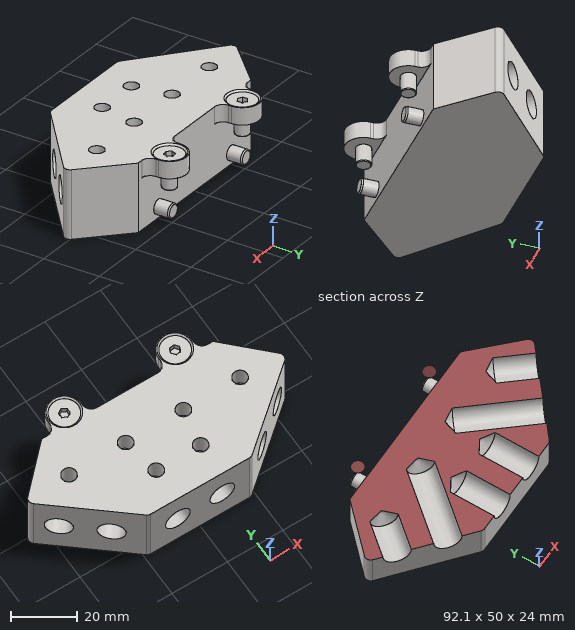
import cadquery as cq
import math


block_width = 92.1
total_depth = 50.0
block_depth = 40.0
block_height = 24.0
rear_corner_x = 30.9
rear_side_angle = 45.0
front_side_angle = 40.0
corner_radius = 2.0
front_y = -block_depth / 2
rear_y = block_depth / 2

lug_radius = 6.0
lug_thickness = 6.0
lug_root_radius = 3.0
lug_x = 20.0
lug_y = front_y + total_depth - lug_radius

countersink_diameter = 11.05
screw_head_diameter = 9.85
screw_diameter = 5.0
screw_tip_z = 12.0
screw_tip_chamfer = 0.3
socket_across_flats = 3.0
socket_depth = 2.0
left_socket_turn = 30.0
right_socket_turn = 8.0
screw_head_z = block_height - (countersink_diameter - screw_head_diameter) / 2

pin_diameter = 5.0
pin_x = lug_x
pin_z = 4.05
pin_protrusion = 5.5
pin_insertion = 6.4
pin_tip_length = 0.55
pin_tip_diameter = 4.4

port_diameter = 8.8
port_tip_angle = 118.0
port_z = block_height / 2
port_spacing = 16.0
front_port_depth = 15.65
outer_port_depth = 13.2
inner_port_depth = 27.6
inner_port_distance = 11.2

drop_diameter = 5.0
front_drop_y = -8.1
rear_drop_y = 5.0
outer_drop_x = 30.85
inner_drop_x = 10.4



def block_outline():
    """Sharp-cornered outline whose side corners reach the block width once they are rounded."""
    rear_slope = math.tan(math.radians(rear_side_angle))
    front_slope = math.tan(math.radians(front_side_angle))
    half_corner = math.radians(rear_side_angle + front_side_angle) / 2
    bisector_tilt = math.radians(rear_side_angle - front_side_angle) / 2
    centre_to_corner = corner_radius / math.sin(half_corner)
    side_x = block_width / 2 - corner_radius + centre_to_corner * math.cos(bisector_tilt)
    side_y = rear_y - (side_x - rear_corner_x) * rear_slope
    front_corner_x = side_x - (side_y - front_y) / front_slope
    return [
        (-front_corner_x, front_y),
        (front_corner_x, front_y),
        (side_x, side_y),
        (rear_corner_x, rear_y),
        (-rear_corner_x, rear_y),
        (-side_x, side_y),
    ]


def block_body():
    """Prism with rounded front and side corners; the rear corners stay sharp."""
    body = cq.Workplane().polyline(block_outline()).close().extrude(block_height)
    return body.edges("|Z").edges("<Y or <X or >X").fillet(corner_radius)


def lug(x):
    """Round-ended lug level with the top face, flared into the rear face by a root arc on each side."""
    root_half_width = lug_radius + lug_root_radius
    root_top_y = rear_y + lug_root_radius
    root_middle_x = root_half_width - lug_root_radius * math.sqrt(0.5)
    root_middle_y = root_top_y - lug_root_radius * math.sqrt(0.5)
    outline = (
        cq.Workplane()
        .moveTo(-root_half_width, rear_y)
        .threePointArc((-root_middle_x, root_middle_y), (-lug_radius, root_top_y))
        .lineTo(-lug_radius, lug_y)
        .threePointArc((0, lug_y + lug_radius), (lug_radius, lug_y))
        .lineTo(lug_radius, root_top_y)
        .threePointArc((root_middle_x, root_middle_y), (root_half_width, rear_y))
        .close()
    )
    return outline.extrude(lug_thickness).translate((x, 0, block_height - lug_thickness))


def port(x, y, turn, depth):
    """Cone-tipped cylinder to cut, drilled from (x, y) toward +Y turned anticlockwise by `turn`."""
    radius = port_diameter / 2
    tip_length = radius / math.tan(math.radians(port_tip_angle / 2))
    tool = (
        cq.Workplane()
        .polyline([(0, 0), (radius, 0), (radius, depth), (0, depth + tip_length)])
        .close()
        .revolve(360, (0, 0), (0, 1))
    )
    return tool.rotate((0, 0, 0), (0, 0, 1), turn).translate((x, y, port_z))


def ports():
    """All six ports: two in the front face and two in each front side face."""
    front_corner_x, _ = block_outline()[1]
    depths = [inner_port_depth, outer_port_depth]
    tools = []
    for side in (-1, 1):
        tools.append(port(side * port_spacing / 2, front_y, 0, front_port_depth))
        for index, depth in enumerate(depths):
            distance = inner_port_distance + index * port_spacing
            x = front_corner_x + distance * math.cos(math.radians(front_side_angle))
            y = front_y + distance * math.sin(math.radians(front_side_angle))
            tools.append(port(side * x, y, side * front_side_angle, depth))
    return tools


def drops():
    """Vertical holes from the top face to the mid height of the ports."""
    points = []
    for side in (-1, 1):
        points.append((side * port_spacing / 2, front_drop_y))
        points.append((side * inner_drop_x, rear_drop_y))
        points.append((side * outer_drop_x, rear_drop_y))
    plane = cq.Workplane().workplane(offset=port_z)
    return plane.pushPoints(points).circle(drop_diameter / 2).extrude(block_height - port_z)


def countersunk_profile(top_z, top_diameter, bottom_z):
    """Half section of a 90 degree cone running down into a cylinder of the screw diameter."""
    shank_radius = screw_diameter / 2
    cone_depth = (top_diameter - screw_diameter) / 2
    return cq.Workplane("XZ").polyline([
        (0, bottom_z),
        (shank_radius, bottom_z),
        (shank_radius, top_z - cone_depth),
        (top_diameter / 2, top_z),
        (0, top_z),
    ]).close()


def screw_hole(x):
    """Countersunk hole to cut through one lug."""
    profile = countersunk_profile(block_height, countersink_diameter, block_height - lug_thickness)
    return profile.revolve(360, (0, 0), (0, 1)).translate((x, lug_y, 0))


def pin_hole(x):
    """Blind hole to cut for one pin in the rear face."""
    hole = cq.Workplane("XZ").circle(pin_diameter / 2).extrude(pin_insertion)
    return hole.translate((x, rear_y, pin_z))


def make_block():
    """Block with its lugs and every hole."""
    body = block_body()
    for side in (-1, 1):
        body = body.union(lug(side * lug_x))
        body = body.cut(screw_hole(side * lug_x))
        body = body.cut(pin_hole(side * pin_x))
    for tool in ports():
        body = body.cut(tool)
    return body.cut(drops())


def make_screw(x, socket_turn):
    """Countersunk screw with a hexagon socket, its head just below the lug's top face."""
    profile = countersunk_profile(screw_head_z, screw_head_diameter, screw_tip_z)
    screw = profile.revolve(360, (0, 0), (0, 1)).faces("<Z").chamfer(screw_tip_chamfer)
    socket_diameter = socket_across_flats / math.cos(math.radians(30))
    socket = (
        cq.Workplane()
        .polygon(6, socket_diameter)
        .extrude(-socket_depth)
        .rotate((0, 0, 0), (0, 0, 1), socket_turn)
        .translate((0, 0, screw_head_z))
    )
    return screw.cut(socket).translate((x, lug_y, 0))


def make_pin(x):
    """Round pin along Y with a tapered tip."""
    radius = pin_diameter / 2
    pin = (
        cq.Workplane()
        .polyline([
            (0, -pin_insertion),
            (radius, -pin_insertion),
            (radius, pin_protrusion - pin_tip_length),
            (pin_tip_diameter / 2, pin_protrusion),
            (0, pin_protrusion),
        ])
        .close()
        .revolve(360, (0, 0), (0, 1))
    )
    return pin.translate((x, rear_y, pin_z))


block = make_block()
screws = [
    make_screw(-lug_x, left_socket_turn),
    make_screw(lug_x, right_socket_turn),
]
pins = [make_pin(side * pin_x) for side in (-1, 1)]

result = cq.Compound.makeCompound([
    block.val(),
    *[screw.val() for screw in screws],
    *[pin.val() for pin in pins],
])